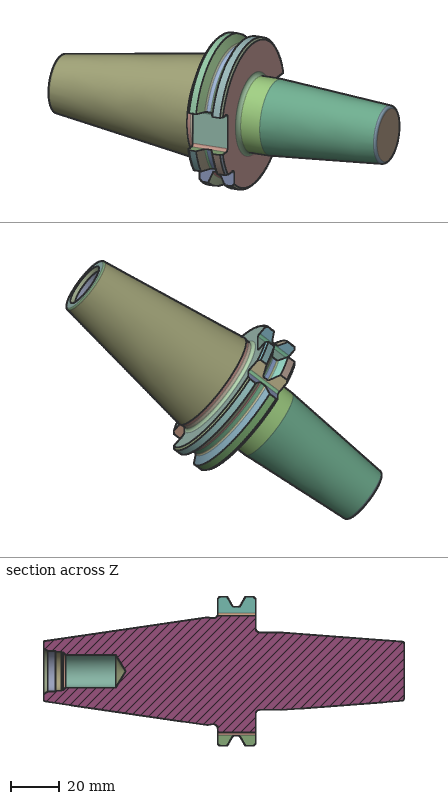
import cadquery as cq
import math

total_length = 148.2

taper_end = 67.5
taper_large_radius = 22.2
taper_slope = 7 / 48
taper_small_radius = taper_large_radius - taper_slope * taper_end
shank_edge_round = 0.7

relief_start = 68.8
relief_radius = 22.0
neck_fillet = 1.3

flange_start = 71.5
flange_end = 87.2
flange_radius = 31.7
flange_edge_chamfer = 0.9
groove_center = 79.2
groove_mouth_width = 7.4
groove_depth = 4.0
groove_wall_angle = 30.0
groove_fillet = 0.9

nose_radius = 16.0
nose_taper_start = 97.4
nose_tip_radius = 12.2
nose_tip_round = 1.2
nose_root_fillet = 1.6

slot_width = 16.2
slot_start = flange_start - neck_fillet
deep_slot_floor = 22.8
shallow_slot_floor = 25.0
slot_fillet = 1.2
notch_wall_y = -18.7
notch_ceiling_z = -18.5

mouth_radius = 9.3
mouth_cone_depth = 1.8
entry_radius = 8.3
entry_depth = 4.7
guide_radius = 8.0
guide_depth = 7.3
thread_radius = 7.7
thread_depth = 8.0
drill_radius = 6.7
drill_depth = 29.6
drill_point_angle = 59.0


def revolve_about_x(profile):
    return profile.close().revolve(360, (0, 0, 0), (1, 0, 0))


def make_shank():
    profile = (
        cq.Workplane("XY")
        .lineTo(0, taper_small_radius)
        .lineTo(taper_end, taper_large_radius)
        .lineTo(relief_start, relief_radius)
        .lineTo(flange_start - neck_fillet, relief_radius)
        .radiusArc((flange_start, relief_radius + neck_fillet), -neck_fillet)
        .lineTo(flange_start, 0)
    )
    return revolve_about_x(profile).faces("<X").edges().fillet(shank_edge_round)


def make_flange():
    blank = (
        cq.Workplane("YZ", origin=(flange_start, 0, 0))
        .circle(flange_radius)
        .extrude(flange_end - flange_start)
        .edges()
        .chamfer(flange_edge_chamfer)
    )
    half_mouth = groove_mouth_width / 2
    half_floor = half_mouth - groove_depth * math.tan(math.radians(groove_wall_angle))
    floor_radius = flange_radius - groove_depth
    floor_edges = cq.selectors.RadiusNthSelector(0)
    groove = revolve_about_x(
        cq.Workplane("XY")
        .moveTo(groove_center - half_mouth, flange_radius)
        .lineTo(groove_center - half_floor, floor_radius)
        .lineTo(groove_center + half_floor, floor_radius)
        .lineTo(groove_center + half_mouth, flange_radius)
    )
    groove = groove.edges(floor_edges).fillet(groove_fillet)
    return blank.cut(groove)


def make_slot(side, floor):
    """Drive slot open toward +Y (side = 1) or -Y (side = -1)."""
    return (
        cq.Workplane("XY")
        .box(flange_end - slot_start, flange_radius, slot_width, centered=(False, False, True))
        .translate((slot_start, 0, 0))
        .faces("<Y")
        .edges("|X")
        .fillet(slot_fillet)
        .translate((0, floor, 0))
        .rotate((0, 0, 0), (1, 0, 0), 0 if side > 0 else 180)
    )


def make_notch():
    return (
        cq.Workplane("XY", origin=(flange_start, notch_wall_y, notch_ceiling_z))
        .box(flange_end - flange_start, flange_radius, flange_radius, centered=False)
        .translate((0, -flange_radius, -flange_radius))
        .edges("|X and >Y and >Z")
        .fillet(slot_fillet)
    )


def make_nose():
    profile = (
        cq.Workplane("XY")
        .moveTo(flange_end, 0)
        .lineTo(flange_end, nose_radius + nose_root_fillet)
        .radiusArc((flange_end + nose_root_fillet, nose_radius), -nose_root_fillet)
        .lineTo(nose_taper_start, nose_radius)
        .lineTo(total_length, nose_tip_radius)
        .lineTo(total_length, 0)
    )
    return revolve_about_x(profile).faces(">X").edges().fillet(nose_tip_round)


def make_bore():
    drill_tip = drill_depth + drill_radius / math.tan(math.radians(drill_point_angle))
    profile = (
        cq.Workplane("XY")
        .lineTo(0, mouth_radius)
        .lineTo(mouth_cone_depth, entry_radius)
        .lineTo(entry_depth, entry_radius)
        .lineTo(entry_depth + entry_radius - guide_radius, guide_radius)
        .lineTo(guide_depth, guide_radius)
        .lineTo(guide_depth + guide_radius - thread_radius, thread_radius)
        .lineTo(thread_depth, thread_radius)
        .lineTo(thread_depth + thread_radius - drill_radius, drill_radius)
        .lineTo(drill_depth, drill_radius)
        .lineTo(drill_tip, 0)
    )
    return revolve_about_x(profile)


result = (
    make_shank()
    .union(make_flange())
    .cut(make_slot(1, deep_slot_floor))
    .cut(make_slot(-1, shallow_slot_floor))
    .cut(make_notch())
    .union(make_nose())
    .cut(make_bore())
)